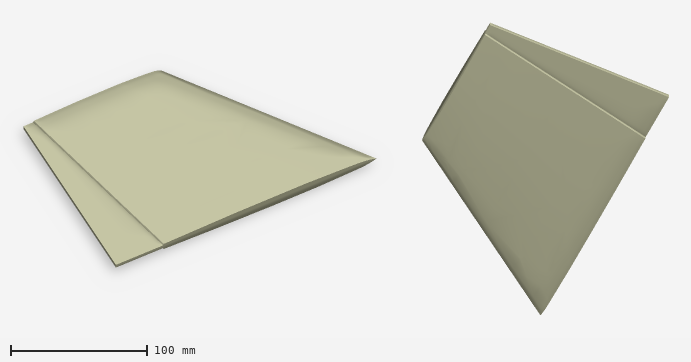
import cadquery as cq
import math

span = 146.0
blade_thickness = 10.1
root_nose_y = 216.0
root_tail_y = 39.0
tip_nose_y = 114.5
tip_tail_y = 8.0
tail_thickness = 6.0
tail_bevel = 0.6
crest_fraction = 0.4
tail_steps = 2
nose_steps = 4

plate_thickness = 3.2
plate_depth = 101.7

half_thickness = blade_thickness / 2
half_tail = tail_thickness / 2


def flank_points(x, nose_y, tail_y, side):
    """Points from the tail edge to just short of the nose; side is 1 above and -1 below."""
    nose_length = crest_fraction * (nose_y - tail_y)
    crest_y = nose_y - nose_length
    tail_length = crest_y - tail_y
    points = []
    for step in range(tail_steps):
        reach = 1 - step / tail_steps
        height = half_thickness - (half_thickness - half_tail) * reach**2
        points.append(cq.Vector(x, crest_y - tail_length * reach, side * height))
    for step in range(nose_steps):
        angle = math.pi / 2 * step / nose_steps
        y = crest_y + nose_length * math.sin(angle)
        points.append(cq.Vector(x, y, side * half_thickness * math.cos(angle)))
    return points


def section_wire(x, nose_y, tail_y):
    """Closed foil section: parabolic flanks, elliptical nose, tail bevelled down to the plate."""
    upper = flank_points(x, nose_y, tail_y + tail_bevel, 1)
    lower = flank_points(x, nose_y, tail_y + tail_bevel, -1)
    nose = cq.Vector(x, nose_y, 0)
    upper_skin = cq.Edge.makeSpline(upper + [nose])
    lower_skin = cq.Edge.makeSpline([nose] + lower[::-1])
    lower_lip = cq.Vector(x, tail_y, -plate_thickness / 2)
    upper_lip = cq.Vector(x, tail_y, plate_thickness / 2)
    lower_bevel = cq.Edge.makeLine(lower[0], lower_lip)
    tail = cq.Edge.makeLine(lower_lip, upper_lip)
    upper_bevel = cq.Edge.makeLine(upper_lip, upper[0])
    return cq.Wire.assembleEdges([upper_skin, lower_skin, lower_bevel, tail, upper_bevel])


def make_plate():
    """Flat rectangular plate running the full span."""
    return cq.Workplane("XY").box(span, plate_depth, plate_thickness, centered=(False, False, True))


def make_blade(plate):
    """Tapered foil with a slot that the plate fills."""
    tip = section_wire(0, tip_nose_y, tip_tail_y)
    root = section_wire(span, root_nose_y, root_tail_y)
    foil = cq.Solid.makeLoft([tip, root], True)
    return cq.Workplane(obj=foil).cut(plate).solids()


plate = make_plate()
blade = make_blade(plate)

result = cq.Compound.makeCompound([blade.val(), plate.val()])